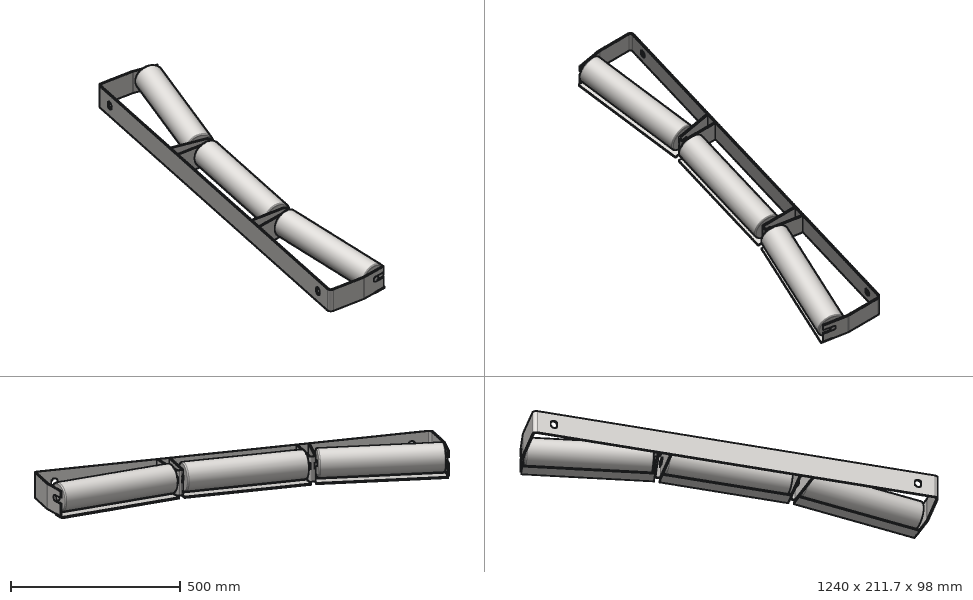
import cadquery as cq
import math

FRAME_LENGTH = 1240.0
SHEET = 5.0
FRAME_TOP = 30.0
FRAME_BOTTOM = -48.0
FRAME_HEIGHT = FRAME_TOP - FRAME_BOTTOM
FRAME_MID_Z = (FRAME_TOP + FRAME_BOTTOM) / 2
CORNER_RADIUS = 12.0
LEG_BEND_RADIUS = 19.0

ROLLER_RADIUS = 45.0
ROLLER_LENGTH = 380.0
ROLLER_EDGE = 4.0
SHAFT_RADIUS = 9.3
SUPPORT_GAP = 390.0
MIDDLE_Y = 100.0
SIDE_X = 414.0
SIDE_Y = 135.0
TILT = 10.0

LEG_OVERHANG = 32.0
BRACKET_TOP_Y = 126.0
BRACKET_FOLD_RADIUS = 4.0
RAIL_SLOT_PITCH = 1114.0
RAIL_SLOT_WIDTH = 20.0
RAIL_SLOT_HEIGHT = 26.0

STRIP_LENGTH = 394.0
STRIP_WIDTH = 38.0
STRIP_THICKNESS = 5.0

SIN = math.sin(math.radians(TILT))
COS = math.cos(math.radians(TILT))
SUPPORT_INNER = SUPPORT_GAP / 2
SUPPORT_OUTER = SUPPORT_INNER + SHEET

STATIONS = [(-SIDE_X, SIDE_Y, -TILT), (0, MIDDLE_Y, 0), (SIDE_X, SIDE_Y, TILT)]


def at_station(body, station):
    """Move a body from its own axes to a roller station."""
    x, y, angle = station
    return body.rotate((0, 0, 0), (0, 0, 1), angle).translate((x, y, 0))


def x_cylinder(radius, length):
    """Cylinder along X, centred on the origin."""
    return cq.Workplane("YZ", origin=(-length / 2, 0, 0)).circle(radius).extrude(length)


def left_roller_point(along, across):
    """Point given along and across the axis of the left side roller."""
    return (-SIDE_X + along * COS + across * SIN, SIDE_Y - along * SIN + across * COS)


def point_at_x(along, x):
    """Point at the given X on the line across the left roller axis at `along`."""
    base_x, _ = left_roller_point(along, 0)
    return left_roller_point(along, (x - base_x) / SIN)


def point_at_y(along, y):
    """Point at the given Y on the line across the left roller axis at `along`."""
    _, base_y = left_roller_point(along, 0)
    return left_roller_point(along, (y - base_y) / COS)


def shaft_slots():
    """Cutters for the shaft ends: round at the shaft, open towards +Y."""
    bore = x_cylinder(SHAFT_RADIUS, 2 * SUPPORT_OUTER)
    mouth = cq.Workplane("XY").box(
        2 * SUPPORT_OUTER, 2 * ROLLER_RADIUS, 2 * SHAFT_RADIUS, centered=(True, False, True)
    )
    cutter = bore.union(mouth)
    return [at_station(cutter, station) for station in STATIONS]


def sheet_body(outline):
    """Extrude a sheet outline over the full frame height."""
    base = cq.Workplane("XY", origin=(0, 0, FRAME_BOTTOM))
    return base.polyline(outline).close().extrude(FRAME_HEIGHT)


def round_bend(body, point, radius):
    """Round the vertical edge that passes through a point of the outline."""
    nearest = cq.selectors.NearestToPointSelector((*point, FRAME_MID_Z))
    return body.edges("|Z").edges(nearest).fillet(radius)


def make_frame():
    """Rail with a leg at each end that bends to stand square to the side roller."""
    end_x = -FRAME_LENGTH / 2
    outer_corner = (end_x, 0)
    inner_corner = (end_x + SHEET, SHEET)
    outer_bend = point_at_x(-SUPPORT_OUTER, end_x)
    inner_bend = point_at_x(-SUPPORT_INNER, end_x + SHEET)
    left_half = [
        outer_corner,
        outer_bend,
        left_roller_point(-SUPPORT_OUTER, LEG_OVERHANG),
        left_roller_point(-SUPPORT_INNER, LEG_OVERHANG),
        inner_bend,
        inner_corner,
    ]
    right_half = [(-x, y) for x, y in reversed(left_half)]
    frame = sheet_body(left_half + right_half)
    bends = [
        (outer_corner, CORNER_RADIUS),
        (inner_corner, CORNER_RADIUS - SHEET),
        (outer_bend, LEG_BEND_RADIUS + SHEET),
        (inner_bend, LEG_BEND_RADIUS),
    ]
    for (x, y), radius in bends:
        frame = round_bend(frame, (x, y), radius)
        frame = round_bend(frame, (-x, y), radius)
    rail_slots = (
        cq.Workplane("XZ", origin=(0, 0, FRAME_MID_Z))
        .pushPoints([(-RAIL_SLOT_PITCH / 2, 0), (RAIL_SLOT_PITCH / 2, 0)])
        .slot2D(RAIL_SLOT_HEIGHT, RAIL_SLOT_WIDTH, 90)
        .extrude(-SHEET)
    )
    frame = frame.cut(rail_slots)
    for slot in shaft_slots():
        frame = frame.cut(slot)
    return frame


def make_left_bracket():
    """Folded sheet between the left and middle rollers, standing on the rail."""
    inside_y = BRACKET_TOP_Y - SHEET
    outer_top = [
        point_at_y(SUPPORT_INNER, BRACKET_TOP_Y),
        (-SUPPORT_INNER, BRACKET_TOP_Y),
    ]
    inner_top = [
        (-SUPPORT_OUTER, inside_y),
        point_at_y(SUPPORT_OUTER, inside_y),
    ]
    outline = [
        point_at_y(SUPPORT_INNER, SHEET),
        *outer_top,
        (-SUPPORT_INNER, SHEET),
        (-SUPPORT_OUTER, SHEET),
        *inner_top,
        point_at_y(SUPPORT_OUTER, SHEET),
    ]
    bracket = sheet_body(outline)
    for point in inner_top:
        bracket = round_bend(bracket, point, BRACKET_FOLD_RADIUS)
    for point in outer_top:
        bracket = round_bend(bracket, point, BRACKET_FOLD_RADIUS + SHEET)
    for slot in shaft_slots():
        bracket = bracket.cut(slot)
    return bracket


def make_roller():
    """Roller with its shaft, centred on the origin along X."""
    drum = x_cylinder(ROLLER_RADIUS, ROLLER_LENGTH).edges("%CIRCLE").fillet(ROLLER_EDGE)
    return drum.union(x_cylinder(SHAFT_RADIUS, 2 * SUPPORT_OUTER))


def make_strip():
    """Guard strip below the rear half of the roller, its front edge under the axis."""
    return cq.Workplane("XY", origin=(0, 0, FRAME_BOTTOM - STRIP_THICKNESS)).box(
        STRIP_LENGTH, STRIP_WIDTH, STRIP_THICKNESS, centered=(True, False, False)
    )


frame = make_frame()
left_bracket = make_left_bracket()
right_bracket = left_bracket.mirror("YZ")
rollers = [at_station(make_roller(), station) for station in STATIONS]
strips = [at_station(make_strip(), station) for station in STATIONS]

result = cq.Compound.makeCompound(
    [body.val() for body in [frame, left_bracket, right_bracket, *rollers, *strips]]
)